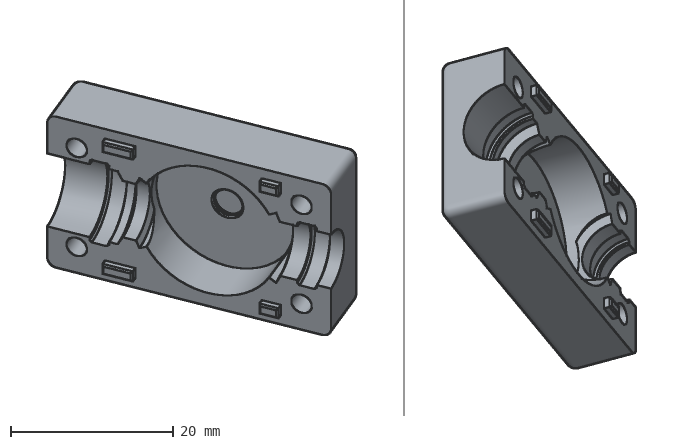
import cadquery as cq


length = 38.1
height = 23.05
overall_depth = 9.85
peg_height = 1.0
body_depth = overall_depth - peg_height
edge_radius = 1.22

chamber_x = 21.55
chamber_radius = 9.52
chamber_depth = 6.15
dimple_floor_radius = 1.9
dimple_chamfer = 0.23
dimple_depth = 0.7

inlet_radius = 5.55
inlet_groove_start = 5.68
inlet_groove_radius = 6.3
shoulder_start = 9.45
shoulder_end = 10.15
throat_radius = 4.3
outlet_radius = 4.1
outlet_groove_start = 33.55
outlet_groove_radius = 4.8
groove_width = 2.63
groove_chamfer = 0.3

seat_radius = 5.35
inlet_seat_start = 11.93
inlet_seat_tip = 12.4
outlet_seat_tip = 30.75
outlet_seat_end = 31.25
seat_cone_run = 1.52
seat_cone_drop = 0.85

hole_diameter = 2.75
hole_inset_x = 3.95
hole_z = 7.55

long_peg_x = 9.8
long_peg_length = 4.08
short_peg_x = 30.1
short_peg_length = 2.55
peg_width = 1.52
peg_z = 9.3
peg_chamfer = 0.23


def make_body():
    """Block with rounded corners and a rounded back edge."""
    block = cq.Workplane("XY").box(length, body_depth, height, centered=(False, False, True))
    return block.edges("|Y").fillet(edge_radius).faces(">Y").edges().fillet(edge_radius)


def cylinder(x, z, radius, start_y, depth):
    """Cylinder along +Y."""
    return cq.Workplane("XZ", origin=(x, start_y, z)).circle(radius).extrude(-depth)


def revolve_about_flow_axis(profile):
    """Solid of revolution from (x, radius) points, closed along the flow axis."""
    closed = [(profile[0][0], 0)] + profile + [(profile[-1][0], 0)]
    return cq.Workplane("XY").polyline(closed).close().revolve(360, (0, 0, 0), (1, 0, 0))


def make_groove(start, groove_radius):
    """Ring groove with chamfered bottom corners."""
    end = start + groove_width
    return revolve_about_flow_axis([
        (start, groove_radius - groove_chamfer),
        (start + groove_chamfer, groove_radius),
        (end - groove_chamfer, groove_radius),
        (end, groove_radius - groove_chamfer),
    ])


def make_inlet():
    """Inlet bore, shoulder cone, throat and inlet seat."""
    return revolve_about_flow_axis([
        (0, inlet_radius),
        (shoulder_start, inlet_radius),
        (shoulder_end, throat_radius),
        (inlet_seat_start, throat_radius),
        (inlet_seat_tip, seat_radius),
        (inlet_seat_tip + seat_cone_run, seat_radius - seat_cone_drop),
    ])


def make_outlet():
    """Outlet seat and outlet bore."""
    return revolve_about_flow_axis([
        (outlet_seat_tip - seat_cone_run, seat_radius - seat_cone_drop),
        (outlet_seat_tip, seat_radius),
        (outlet_seat_end, outlet_radius),
        (length, outlet_radius),
    ])


def make_dimple():
    """Blind hole in the chamber floor with a chamfered mouth."""
    mouth_radius = dimple_floor_radius + dimple_chamfer
    bore = cylinder(chamber_x, 0, dimple_floor_radius, chamber_depth, dimple_depth)
    mouth = (
        cq.Workplane("XZ", origin=(chamber_x, chamber_depth, 0))
        .circle(mouth_radius)
        .workplane(offset=-dimple_chamfer)
        .circle(dimple_floor_radius)
        .loft()
    )
    return bore.union(mouth)


def make_peg(x, z, peg_length):
    """Rectangular peg with a chamfered tip."""
    peg = cq.Workplane("XZ", origin=(x, 0, z)).rect(peg_length, peg_width).extrude(peg_height)
    return peg.faces("<Y").chamfer(peg_chamfer)


result = make_body()
result = result.cut(cylinder(chamber_x, 0, chamber_radius, 0, chamber_depth))
result = result.cut(make_dimple())
result = result.cut(make_inlet())
result = result.cut(make_outlet())
result = result.cut(make_groove(inlet_groove_start, inlet_groove_radius))
result = result.cut(make_groove(outlet_groove_start, outlet_groove_radius))

for side in (-1, 1):
    for hole_x in (hole_inset_x, length - hole_inset_x):
        result = result.cut(cylinder(hole_x, side * hole_z, hole_diameter / 2, 0, body_depth))
    result = result.union(make_peg(long_peg_x, side * peg_z, long_peg_length))
    result = result.union(make_peg(short_peg_x, side * peg_z, short_peg_length))